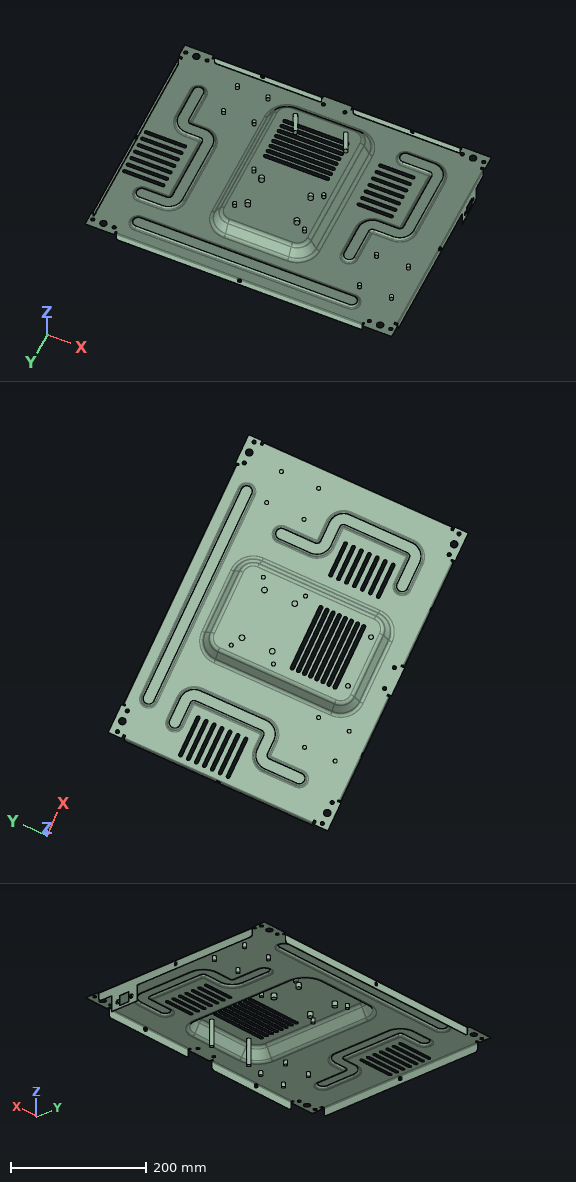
import cadquery as cq
import math

LENGTH = 498.0
WIDTH = 358.0
SHEET = 0.8
CORE_DEPTH = 10.0
CORE_MARGIN = 5.0

FLANGE_X = 248.0
FLANGE_Y = 177.0
FLANGE_DROP = 15.0
BEND_RADIUS = 1.5
FLANGE_CORNER = 4.0
LONG_FLANGE_END = 199.5
SIDE_FLANGE_END = 153.5
SIDE_NOTCH_WIDTH = 3.5
LONG_NOTCH_WIDTH = 2.5
SIDE_NOTCH_DEPTH = 6.5
LONG_NOTCH_DEPTH = 6.0
FRONT_TAB_HALF = 23.5

DOME_HEIGHT = 21.5
DOME_HALF_X = 84.0
DOME_FRONT = -142.0
DOME_BACK = 113.5
DOME_CORNER = 33.0
DOME_INSET = 12.5
DOME_TOP_FILLET = 7.5
DOME_FOOT_FILLET = 6.0

BEAD_HEIGHT = 3.5
BEAD_HALF_WIDTH = 12.5
BEAD_INSET = 4.0
BEAD_FOOT_FILLET = 3.0
BEAD_BEND = 14.5
BACK_BEAD = [(-178.0, 145.5), (169.0, 145.5)]
LEFT_BEAD = [(-194.5, 95.0), (-143.5, 95.0), (-143.5, -41.0), (-194.5, -41.0), (-194.5, -107.5)]
RIGHT_BEAD = [(131.5, 71.5), (131.5, 6.0), (191.5, 6.0), (191.5, -124.0), (134.0, -124.0)]

SIDE_SLOT_COUNT = 7
SIDE_SLOT_PITCH = 13.0
SIDE_SLOT_WIDTH = 5.0
LEFT_SLOT_LENGTH = 67.5
LEFT_SLOT_CENTER = (-204.0, 28.5)
RIGHT_SLOT_LENGTH = 58.0
RIGHT_SLOT_CENTER = (132.0, -59.5)
DOME_SLOT_COUNT = 8
DOME_SLOT_PITCH = 10.0
DOME_SLOT_WIDTH = 5.5
DOME_SLOT_LENGTH = 106.5
DOME_SLOT_CENTER = (0.0, -64.5)

CORNER_HOLE_Y = 167.0
CORNER_HOLE_X = 224.5
CORNER_HOLE = 10.5
SMALL_HOLE = 5.5
SMALL_HOLE_XS = (207.0, 242.0)
TAB_HOLE_X = 17.5
TAB_HOLE_Y = -165.0

STUD = 6.0
STUD_LENGTH = 8.0
RIGHT_STUD_CENTER = (192.0, 81.0)
RIGHT_STUD_SPACING = (52.0, 61.0)
LEFT_STUD_CENTER = (-123.0, -119.5)
LEFT_STUD_SPACING = (50.0, 50.0)
DOME_STUD_CENTER = (0.0, 32.5)
DOME_STUD_SPACING = (113.5, 68.5)
WIDE_STUD = 8.5
WIDE_STUD_SPACING = (79.5, 49.5)
LONG_STUD = 7.0
LONG_STUD_LENGTH = 45.0
LONG_STUD_X = 41.0
LONG_STUD_Y = -116.0

SCREW_HOLE = 4.0
COLLAR = 6.0
COLLAR_DEPTH = 2.0
SCREW_DROP = 6.5
FRONT_SCREW_X = 121.5
FRONT_SCREW_DROP = 5.0

SOCKET_FRONT = -128.0
SOCKET_BACK = -76.5
SOCKET_DROP = 41.5
WINDOW_Y = -102.5
WINDOW_DROP = 28.5
WINDOW_WIDTH = 18.0
WINDOW_HEIGHT = 16.5
SOCKET_HOLE = 3.0
SOCKET_SINK = 7.0
SOCKET_HOLE_SPACING = 27.0
SOCKET_HOLE_DROP = 29.0


def skin_inset(height, inset):
    """Plan offset between the two faces of a leaning wall one sheet thickness apart."""
    wall_angle = math.atan2(height, inset)
    return SHEET * math.tan(wall_angle / 2)


def dome_form(offset, base):
    """Solid dome whose foot lies at z = base, drawn in by offset."""
    size_x = 2 * (DOME_HALF_X - offset)
    size_y = DOME_BACK - DOME_FRONT - 2 * offset
    taper = math.degrees(math.atan2(DOME_INSET, DOME_HEIGHT))
    outline = cq.Sketch().rect(size_x, size_y).vertices().fillet(DOME_CORNER - offset)
    return (
        cq.Workplane(origin=(0, (DOME_FRONT + DOME_BACK) / 2, base))
        .placeSketch(outline)
        .extrude(DOME_HEIGHT, taper=taper)
    )


def heading(start, end):
    """Unit direction from one point to another."""
    run = math.dist(start, end)
    return (end[0] - start[0]) / run, (end[1] - start[1]) / run


def left_turns(path, half_width):
    """Start, middle and end of each arc on the left side of a band with square turns."""
    arcs = []
    for before, corner, after in zip(path, path[1:], path[2:]):
        in_x, in_y = heading(before, corner)
        out_x, out_y = heading(corner, after)
        turn = math.copysign(1, in_x * out_y - in_y * out_x)
        center_x = corner[0] + BEAD_BEND * (out_x - in_x)
        center_y = corner[1] + BEAD_BEND * (out_y - in_y)
        radius = BEAD_BEND - turn * half_width
        diagonal = radius * math.sqrt(0.5)
        arcs.append((
            (center_x - radius * out_x, center_y - radius * out_y),
            (center_x + diagonal * (in_x - out_x), center_y + diagonal * (in_y - out_y)),
            (center_x + radius * in_x, center_y + radius * in_y),
        ))
    return arcs


def band_wire(path, half_width, height):
    """Closed outline of a round-ended band: up its left side, then back along the other."""
    head_x, head_y = heading(path[0], path[1])
    outline = cq.Workplane(origin=(0, 0, height)).moveTo(
        path[0][0] - half_width * head_y, path[0][1] + half_width * head_x
    )
    for route in (path, path[::-1]):
        for begin, middle, end in left_turns(route, half_width):
            outline = outline.lineTo(*begin).threePointArc(middle, end)
        end_x, end_y = route[-1]
        head_x, head_y = heading(route[-2], route[-1])
        ahead_x, ahead_y = half_width * head_x, half_width * head_y
        outline = outline.lineTo(end_x - ahead_y, end_y + ahead_x)
        outline = outline.threePointArc(
            (end_x + ahead_x, end_y + ahead_y), (end_x + ahead_y, end_y - ahead_x)
        )
    return outline.close().val()


def bead_form(path, offset, base):
    """Solid bead with leaning walls whose foot lies at z = base."""
    foot = band_wire(path, BEAD_HALF_WIDTH - offset, base)
    crest = band_wire(path, BEAD_HALF_WIDTH - offset - BEAD_INSET, base + BEAD_HEIGHT)
    return cq.Workplane(cq.Solid.makeLoft([foot, crest], True))


def round_feet(block, base, radius):
    """Round every edge where a raised form meets the block's flat face at z = base."""
    up_faces = block.faces("+Z").vals()
    flat_face = min(up_faces, key=lambda face: abs(face.Center().z - base))
    feet = [edge for wire in flat_face.innerWires() for edge in wire.Edges()]
    return block.newObject(feet).fillet(radius)


def pressed_block(depth, margin):
    """Block with the dome and beads on it; its upper skin lies depth below the sheet's."""
    base = -depth
    share = depth / SHEET
    block = cq.Workplane(origin=(0, 0, base - CORE_DEPTH / 2)).box(
        LENGTH + margin, WIDTH + margin, CORE_DEPTH
    )
    bead_offset = share * skin_inset(BEAD_HEIGHT, BEAD_INSET)
    for path in (BACK_BEAD, LEFT_BEAD, RIGHT_BEAD):
        block = block.union(bead_form(path, bead_offset, base))
    block = round_feet(block, base, BEAD_FOOT_FILLET + depth)
    dome = dome_form(share * skin_inset(DOME_HEIGHT, DOME_INSET), base)
    block = block.union(dome.faces(">Z").edges().fillet(DOME_TOP_FILLET - depth))
    dome_zone = cq.selectors.BoxSelector(
        (-DOME_HALF_X - CORE_MARGIN, DOME_FRONT - CORE_MARGIN, base - SHEET / 2),
        (DOME_HALF_X + CORE_MARGIN, DOME_BACK + CORE_MARGIN, base + SHEET / 2),
    )
    return block.edges(dome_zone).fillet(DOME_FOOT_FILLET + depth)


def trim_edges(sheet):
    """Set the edges back to the bends and cut the relief notches beside the tabs."""
    height = 2 * CORE_DEPTH

    def cutter(x_start, x_end, y_start, y_end):
        return cq.Workplane(origin=((x_start + x_end) / 2, (y_start + y_end) / 2, 0)).box(
            abs(x_end - x_start), abs(y_end - y_start), height
        )

    bend_x = FLANGE_X - BEND_RADIUS
    bend_y = FLANGE_Y - BEND_RADIUS
    notch_x = LENGTH / 2 - SIDE_NOTCH_DEPTH
    notch_y = WIDTH / 2 - LONG_NOTCH_DEPTH
    side_notch_end = SIDE_FLANGE_END + SIDE_NOTCH_WIDTH
    long_notch_end = LONG_FLANGE_END + LONG_NOTCH_WIDTH
    tab_notch_end = FRONT_TAB_HALF + LONG_NOTCH_WIDTH
    sheet = sheet.cut(cutter(-LONG_FLANGE_END, LONG_FLANGE_END, bend_y, WIDTH))
    for side in (-1, 1):
        sheet = sheet.cut(cutter(side * bend_x, side * LENGTH, -SIDE_FLANGE_END, SIDE_FLANGE_END))
        sheet = sheet.cut(cutter(side * FRONT_TAB_HALF, side * tab_notch_end, -notch_y, -WIDTH))
        sheet = sheet.cut(cutter(side * tab_notch_end, side * LONG_FLANGE_END, -bend_y, -WIDTH))
        for end in (-1, 1):
            sheet = sheet.cut(cutter(
                side * notch_x, side * LENGTH, end * SIDE_FLANGE_END, end * side_notch_end
            ))
            sheet = sheet.cut(cutter(
                side * LONG_FLANGE_END, side * long_notch_end, end * notch_y, end * WIDTH
            ))
    return sheet


def slot_row(count, pitch, length, width, center):
    """Cutter for a column of horizontal slots."""
    return (
        cq.Workplane(origin=(*center, -CORE_DEPTH))
        .rarray(5, pitch, 1, count)
        .slot2D(length, width)
        .extrude(CORE_DEPTH + 2 * DOME_HEIGHT)
    )


def stud_group(center, spacing, top, diameter, length):
    """Four studs at the corners of a rectangle, flush with sheet whose upper face is at z = top."""
    return (
        cq.Workplane(origin=(*center, top))
        .rarray(*spacing, 2, 2)
        .circle(diameter / 2)
        .extrude(-length)
    )


def flange(start, end, reach, turn):
    """Bent-down edge facing +X at x = reach between two y stations, then turned about Z."""
    inner = reach - SHEET
    bend_x = reach - BEND_RADIUS
    bend_in = BEND_RADIUS - SHEET
    diagonal = math.sqrt(0.5)
    profile = (
        cq.Workplane("XZ", origin=(0, end, 0))
        .moveTo(bend_x, 0)
        .threePointArc(
            (bend_x + BEND_RADIUS * diagonal, -BEND_RADIUS * (1 - diagonal)),
            (reach, -BEND_RADIUS),
        )
        .lineTo(reach, -FLANGE_DROP)
        .lineTo(inner, -FLANGE_DROP)
        .lineTo(inner, -BEND_RADIUS)
        .threePointArc(
            (bend_x + bend_in * diagonal, -BEND_RADIUS + bend_in * diagonal),
            (bend_x, -SHEET),
        )
        .close()
        .extrude(end - start)
    )
    corners = profile.faces("<Z").edges("|X")
    return corners.fillet(FLANGE_CORNER).rotate((0, 0, 0), (0, 0, 1), turn)


def screw_collar(along, drop, reach, turn):
    """Collar inside a +X flange and the hole through it, both turned about Z."""
    place = cq.Workplane("YZ", origin=(reach, along, -drop))
    collar = place.circle(COLLAR / 2).extrude(-SHEET - COLLAR_DEPTH)
    hole = place.circle(SCREW_HOLE / 2).extrude(-SHEET - COLLAR_DEPTH)
    axis = ((0, 0, 0), (0, 0, 1), turn)
    return collar.rotate(*axis), hole.rotate(*axis)


def add_flanges(body):
    right, back, left, front = 0, 90, 180, 270
    front_start = FRONT_TAB_HALF + LONG_NOTCH_WIDTH
    runs = [
        (-SIDE_FLANGE_END, SIDE_FLANGE_END, FLANGE_X, right),
        (-LONG_FLANGE_END, LONG_FLANGE_END, FLANGE_Y, back),
        (-SIDE_FLANGE_END, SIDE_FLANGE_END, FLANGE_X, left),
        (-LONG_FLANGE_END, -front_start, FLANGE_Y, front),
        (front_start, LONG_FLANGE_END, FLANGE_Y, front),
    ]
    screws = [
        (0, SCREW_DROP, FLANGE_X, right),
        (0, SCREW_DROP, FLANGE_Y, back),
        (0, SCREW_DROP, FLANGE_X, left),
        (-FRONT_SCREW_X, FRONT_SCREW_DROP, FLANGE_Y, front),
        (FRONT_SCREW_X, FRONT_SCREW_DROP, FLANGE_Y, front),
    ]
    for run in runs:
        body = body.union(flange(*run))
    for screw in screws:
        collar, hole = screw_collar(*screw)
        body = body.union(collar).cut(hole)
    return body


def socket_plate():
    """Downward extension of the right flange with a window between two screw holes."""
    overlap = FLANGE_DROP / 2
    height = SOCKET_DROP - overlap
    middle_y = (SOCKET_FRONT + SOCKET_BACK) / 2
    plate = cq.Workplane("YZ", origin=(FLANGE_X - SHEET, middle_y, -overlap - height / 2)).rect(
        SOCKET_BACK - SOCKET_FRONT, height
    ).extrude(SHEET)
    window = cq.Workplane("YZ", origin=(FLANGE_X - SHEET, WINDOW_Y, -WINDOW_DROP)).rect(
        WINDOW_WIDTH, WINDOW_HEIGHT
    ).extrude(SHEET)
    plate = plate.cut(window)
    for side in (-1, 1):
        hole_y = WINDOW_Y + side * SOCKET_HOLE_SPACING / 2
        hole = cq.Solid.makeCone(
            SOCKET_SINK / 2,
            SOCKET_HOLE / 2,
            SHEET,
            pnt=cq.Vector(FLANGE_X - SHEET, hole_y, -SOCKET_HOLE_DROP),
            dir=cq.Vector(1, 0, 0),
        )
        plate = plate.cut(cq.Workplane(hole))
    return plate


def panel_holes():
    """Cutter for the corner holes and the two holes in the front tab."""
    corner_places = []
    small_places = [(-TAB_HOLE_X, TAB_HOLE_Y), (TAB_HOLE_X, TAB_HOLE_Y)]
    for x_side in (-1, 1):
        for y_side in (-1, 1):
            corner_places.append((x_side * CORNER_HOLE_X, y_side * CORNER_HOLE_Y))
            for x in SMALL_HOLE_XS:
                small_places.append((x_side * x, y_side * CORNER_HOLE_Y))
    base = cq.Workplane(origin=(0, 0, -SHEET))
    large = base.pushPoints(corner_places).circle(CORNER_HOLE / 2).extrude(SHEET)
    small = base.pushPoints(small_places).circle(SMALL_HOLE / 2).extrude(SHEET)
    return large.union(small)


body = pressed_block(0, 0).cut(pressed_block(SHEET, CORE_MARGIN))
body = trim_edges(body)

body = body.cut(panel_holes())
for length, center in (
    (LEFT_SLOT_LENGTH, LEFT_SLOT_CENTER),
    (RIGHT_SLOT_LENGTH, RIGHT_SLOT_CENTER),
):
    body = body.cut(slot_row(SIDE_SLOT_COUNT, SIDE_SLOT_PITCH, length, SIDE_SLOT_WIDTH, center))
body = body.cut(slot_row(
    DOME_SLOT_COUNT, DOME_SLOT_PITCH, DOME_SLOT_LENGTH, DOME_SLOT_WIDTH, DOME_SLOT_CENTER
))

body = add_flanges(body)
body = body.union(socket_plate())

body = body.union(stud_group(RIGHT_STUD_CENTER, RIGHT_STUD_SPACING, 0, STUD, STUD_LENGTH))
body = body.union(stud_group(LEFT_STUD_CENTER, LEFT_STUD_SPACING, 0, STUD, STUD_LENGTH))
for spacing, diameter in ((DOME_STUD_SPACING, STUD), (WIDE_STUD_SPACING, WIDE_STUD)):
    body = body.union(stud_group(DOME_STUD_CENTER, spacing, DOME_HEIGHT, diameter, STUD_LENGTH))
long_studs = (
    cq.Workplane(origin=(0, LONG_STUD_Y, DOME_HEIGHT))
    .rarray(2 * LONG_STUD_X, 5, 2, 1)
    .circle(LONG_STUD / 2)
    .extrude(-LONG_STUD_LENGTH)
)
body = body.union(long_studs)

result = body